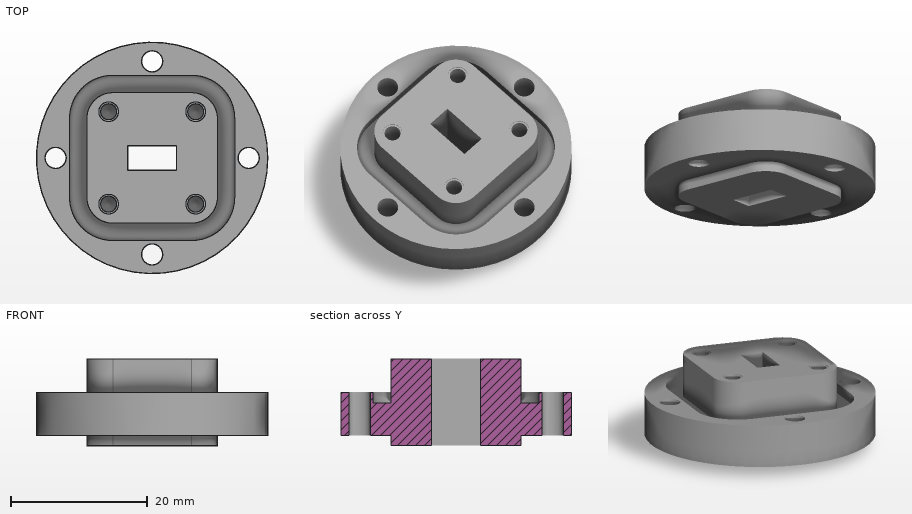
import cadquery as cq
import math

flange_diameter = 33.78
flange_thickness = 6.28
flange_hole_diameter = 3.05
flange_hole_circle_radius = 14.1
flange_hole_count = 4

block_side = 19.05
block_corner_radius = 3.8
block_height = 12.7
block_lower_projection = 1.52
flange_top = block_lower_projection + flange_thickness

recess_gap = 2.55
recess_depth = 1.52
recess_side = block_side + 2 * recess_gap
recess_corner_radius = block_corner_radius + recess_gap

opening_length = 7.05
opening_width = 3.55

screw_spacing_x = 12.7
screw_spacing_y = 13.48
screw_hole_diameter = 2.33
screw_hole_depth = 6.08
drill_point_angle = 118.0
screw_step_diameter = 2.87
screw_step_depth = 0.1


def rounded_square(side, corner_radius, bottom, height):
    """Square prism centred on the Z axis with rounded vertical edges."""
    prism = cq.Workplane("XY").workplane(offset=bottom).rect(side, side).extrude(height)
    return prism.edges("|Z").fillet(corner_radius)


def screw_hole_cutter():
    """Stepped blind hole with a drill point, opening upward at the top of the block."""
    hole_radius = screw_hole_diameter / 2
    step_radius = screw_step_diameter / 2
    step_floor = block_height - screw_step_depth
    hole_floor = block_height - screw_hole_depth
    point_depth = hole_radius / math.tan(math.radians(drill_point_angle / 2))
    half_section = [
        (0, block_height),
        (step_radius, block_height),
        (step_radius, step_floor),
        (hole_radius, step_floor),
        (hole_radius, hole_floor),
        (0, hole_floor - point_depth),
    ]
    return cq.Workplane("XZ").polyline(half_section).close().revolve(360, (0, 0), (0, 1))


flange = (
    cq.Workplane("XY")
    .workplane(offset=block_lower_projection)
    .circle(flange_diameter / 2)
    .extrude(flange_thickness)
)
recess = rounded_square(recess_side, recess_corner_radius, flange_top - recess_depth, recess_depth)
flange_holes = (
    cq.Workplane("XY")
    .polarArray(flange_hole_circle_radius, 0, 360, flange_hole_count)
    .circle(flange_hole_diameter / 2)
    .extrude(flange_top)
)
flange = flange.cut(recess).cut(flange_holes)

block = rounded_square(block_side, block_corner_radius, 0, block_height)
opening = cq.Workplane("XY").rect(opening_length, opening_width).extrude(block_height)
result = flange.union(block).cut(opening)

screw_hole = screw_hole_cutter()
for side_x in (-1, 1):
    for side_y in (-1, 1):
        position = (side_x * screw_spacing_x / 2, side_y * screw_spacing_y / 2, 0)
        result = result.cut(screw_hole.translate(position))